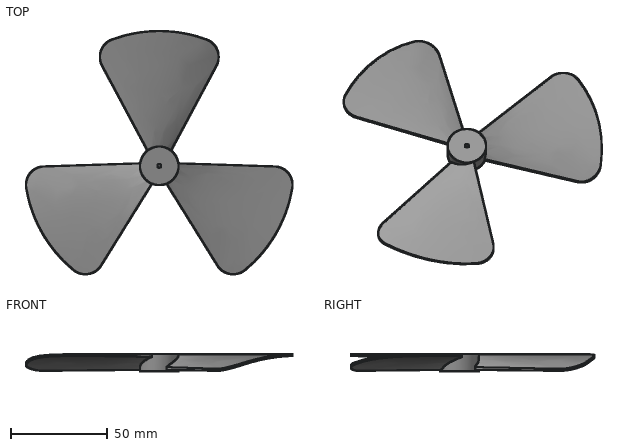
import cadquery as cq
import math

HUB_DIAMETER = 20.0
HUB_HEIGHT = 9.0
BORE_DIAMETER = 2.0
BORE_DEPTH = 6.9

BLADE_COUNT = 3
FIRST_BLADE_ANGLE = 90.0
TIP_RADIUS = 70.0
TIP_CORNER_RADIUS = 9.7
AXIS_HALF_WIDTH = 2.0
EDGE_SLOPE = 0.535

ROOT_Y = 6.9
END_Y = TIP_RADIUS + 0.5
ROOT_THICKNESS = 1.5
END_THICKNESS = 1.0
ROOT_EDGE_CLEARANCE = 0.7
END_EDGE_CLEARANCE = 0.0
ROOT_CURVE_POWER = 1.2
END_CURVE_POWER = 3.5
SECTION_STEPS = 10
EDGE_ALLOWANCE = 0.03


def half_width(y):
    return AXIS_HALF_WIDTH + EDGE_SLOPE * y


def section_wire(y, thickness, edge_clearance, power):
    """Closed section in the XZ direction at radius y."""
    half = half_width(y)
    droop = HUB_HEIGHT - thickness - edge_clearance
    top = []
    for step in range(SECTION_STEPS + 1):
        across = -EDGE_ALLOWANCE + (1 + 2 * EDGE_ALLOWANCE) * step / SECTION_STEPS
        x = half * (2 * across - 1)
        z = HUB_HEIGHT - droop * max(across, 0) ** power
        top.append(cq.Vector(x, y, z))
    bottom = [point - cq.Vector(0, 0, thickness) for point in top]
    return cq.Wire.assembleEdges([
        cq.Edge.makeSpline(top),
        cq.Edge.makeLine(top[-1], bottom[-1]),
        cq.Edge.makeSpline(bottom[::-1]),
        cq.Edge.makeLine(bottom[0], top[0]),
    ])


def blade_outline():
    """Vertical prism with straight sides and a rounded, hub-centred tip."""
    a = AXIS_HALF_WIDTH
    m = EDGE_SLOPE
    corner_y = (-a * m + math.sqrt(TIP_RADIUS**2 * (1 + m**2) - a**2)) / (1 + m**2)
    corner_x = half_width(corner_y)
    root_x = half_width(ROOT_Y)
    return (
        cq.Workplane("XY", origin=(0, 0, -HUB_HEIGHT))
        .moveTo(-root_x, ROOT_Y)
        .lineTo(root_x, ROOT_Y)
        .lineTo(corner_x, corner_y)
        .threePointArc((0, TIP_RADIUS), (-corner_x, corner_y))
        .close()
        .extrude(3 * HUB_HEIGHT)
        .edges("|Z and (>X or <X)")
        .fillet(TIP_CORNER_RADIUS)
    )


def make_blade():
    root = section_wire(ROOT_Y, ROOT_THICKNESS, ROOT_EDGE_CLEARANCE, ROOT_CURVE_POWER)
    end = section_wire(END_Y, END_THICKNESS, END_EDGE_CLEARANCE, END_CURVE_POWER)
    twisted = cq.Solid.makeLoft([root, end], True)
    return blade_outline().intersect(cq.Workplane(obj=twisted))


result = cq.Workplane("XY").circle(HUB_DIAMETER / 2).extrude(HUB_HEIGHT)

blade = make_blade()
for index in range(BLADE_COUNT):
    turn = FIRST_BLADE_ANGLE - 90 + index * 360 / BLADE_COUNT
    result = result.union(blade.rotate((0, 0, 0), (0, 0, 1), turn))

bore = (
    cq.Workplane("XY", origin=(0, 0, HUB_HEIGHT))
    .circle(BORE_DIAMETER / 2)
    .extrude(-BORE_DEPTH)
)
result = result.cut(bore)